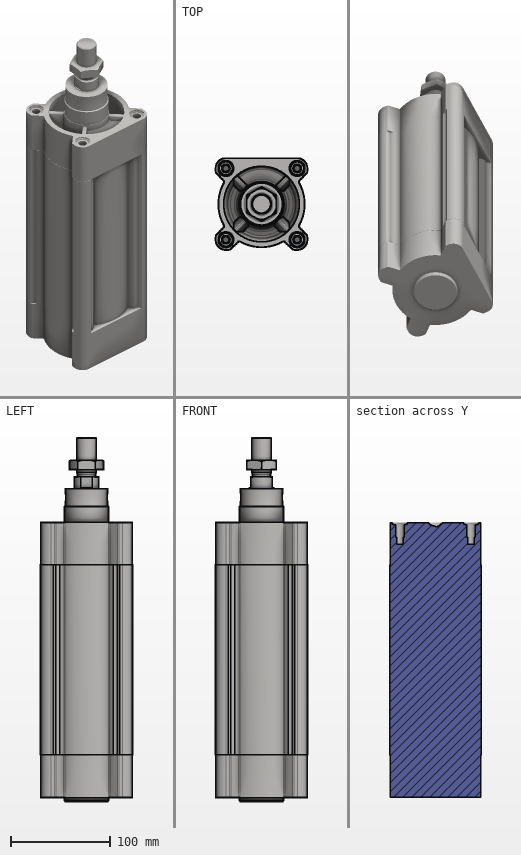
import cadquery as cq
import math

overall_height = 367.5
spigot_height = 4.0
cap_height = 43.0
tube_height = 192.0
tube_bottom = spigot_height + cap_height
tube_top = tube_bottom + tube_height
cap_top = tube_top + cap_height

width = 93.0
screw_offset = 36.0
barrel_radius = 43.7
cap_inset = 0.2
lobe_edge_fillet = 2.2
lobe_root_fillet = 1.0

groove_mouth = 34.0
groove_root_x = 31.0
groove_depth = 3.5
groove_floor_end = 27.2

recess_radius = 38.2
recess_depth = 25.0
port_recess_depth = 7.5
recess_draft = 10.0
hub_radius = 22.8
hub_draft = 6.0
floor_fillet = 2.5
port_floor_fillet = 2.0
rib_width = 4.0
rib_drop = 2.0
rib_draft = 11.0
rib_edge_fillet = 1.5

screw_hole_steps = ((15.8, 0.7), (15.0, 1.5), (13.2, 2.2), (8.5, 14.7), (6.5, 22.0))

collar_diameter = 45.0
collar_shoulder = 297.8
collar_top = 316.0
collar_nose_diameter = 43.0
collar_waist_diameter = 42.3
collar_chamfer = 0.7
spigot_chamfer = 1.0

rod_diameter = 25.0
rod_shoulder = 328.0
flat_width = 22.0
flat_bottom = 317.0
neck_diameter = 18.0
runout_diameter = 18.5
runout_bottom = 330.5
thread_bottom = 332.5
thread_diameter = 20.0
thread_chamfer = 0.7

nut_bottom = 335.3
nut_height = 9.5
nut_across_flats = 30.0
nut_face_diameter = 31.0
nut_chamfer_height = 1.0

quarter_turns = (0, 90, 180, 270)
tolerance = 0.05


def turned(shape, angle):
    return shape.rotate((0, 0, 0), (0, 0, 1), angle)


def flat_end(half_width):
    """Distance from the axis plane at which the outer flat of a lobe turns into its 45 degree side."""
    lobe_radius = half_width - screw_offset
    return screw_offset - lobe_radius * math.tan(math.radians(22.5))


def lobe(half_width, height):
    """Screw lobe in the +X+Y corner: round outside, with 45 degree sides running into the barrel."""
    arc_middle = screw_offset + (half_width - screw_offset) * math.sqrt(0.5)
    flat = flat_end(half_width)
    side_run = half_width - flat
    return (
        cq.Workplane("XY")
        .moveTo(screw_offset, half_width)
        .threePointArc((arc_middle, arc_middle), (half_width, screw_offset))
        .lineTo(half_width, flat)
        .lineTo(side_run, 0)
        .lineTo(0, side_run)
        .lineTo(flat, half_width)
        .close()
        .extrude(height)
    )


def section(height, inset=0.0):
    """Barrel with four screw lobes, standing on Z = 0, its outline moved inward by the inset."""
    half_width = width / 2 - inset
    radius = barrel_radius - inset

    def is_lobe_root(edge):
        middle = edge.Center()
        on_barrel = abs(math.hypot(middle.x, middle.y) - radius) < tolerance
        return on_barrel and min(abs(middle.x), abs(middle.y)) > tolerance

    def is_lobe_edge(edge):
        middle = edge.Center()
        spans = sorted((abs(middle.x), abs(middle.y)))
        return abs(spans[0] - flat_end(half_width)) < tolerance and abs(spans[1] - half_width) < tolerance

    body = cq.Workplane("XY").circle(radius).extrude(height)
    for angle in quarter_turns:
        body = body.union(turned(lobe(half_width, height), angle))
    body = body.edges("|Z").filter(is_lobe_root).fillet(lobe_root_fillet)
    return body.edges("|Z").filter(is_lobe_edge).fillet(lobe_edge_fillet)


def sensor_groove():
    """Cutter for the groove beside the +Y flat of the +X+Y lobe."""
    top = width / 2
    floor_end_y = groove_floor_end + top - flat_end(top)
    return (
        cq.Workplane("XY")
        .moveTo(groove_mouth, top)
        .lineTo(groove_root_x, top - groove_depth)
        .lineTo(groove_floor_end, floor_end_y)
        .lineTo(groove_floor_end, top)
        .close()
        .extrude(tube_height)
    )


def tube():
    body = section(tube_height)
    groove = sensor_groove()
    for angle in quarter_turns:
        body = body.cut(turned(groove, angle))
        body = body.cut(turned(groove.mirror("YZ"), angle))
    return body.translate((0, 0, tube_bottom))


def cap():
    """End cap: the common section with a full-width port face on +Y."""
    port_block = cq.Workplane("XY").box(
        2 * screw_offset, width / 2 - cap_inset, cap_height, centered=(True, False, False)
    )
    return section(cap_height, cap_inset).union(port_block)


def recess_ring(depth, fillet):
    """Cutter for a drafted ring around the hub, with a rounded floor."""
    at_top = cq.Workplane("XY").workplane(offset=cap_top)
    outside = at_top.circle(recess_radius).extrude(-depth, taper=recess_draft)
    hub = at_top.circle(hub_radius).extrude(-depth, taper=-hub_draft)
    return outside.cut(hub).faces("<Z").edges().fillet(fillet)


def rib():
    """Drafted rib across the recess along X, with rounded top edges."""
    return (
        cq.Workplane("XY")
        .workplane(offset=cap_top - rib_drop)
        .rect(width, rib_width)
        .extrude(-recess_depth, taper=-rib_draft)
        .faces(">Z").edges("|X").fillet(rib_edge_fillet)
    )


def recess_cutter():
    """Recess around the hub, split by four diagonal ribs and shallower behind the port face."""
    port_sector = (
        cq.Workplane("XY")
        .workplane(offset=tube_top)
        .polyline([(0, 0), (width, width), (-width, width)])
        .close()
        .extrude(cap_height)
    )
    cutter = recess_ring(recess_depth, floor_fillet).cut(port_sector)
    port_ring = recess_ring(port_recess_depth, port_floor_fillet)
    cutter = cutter.union(port_ring.intersect(port_sector))
    for angle in (45, 135):
        cutter = cutter.cut(turned(rib(), angle))
    return cutter


def screw_hole_cutter():
    hole = cq.Workplane("XY")
    for diameter, depth in screw_hole_steps:
        hole = hole.union(
            cq.Workplane("XY").workplane(offset=cap_top).circle(diameter / 2).extrude(-depth)
        )
    return hole


def collar():
    """Guide collar on the front cap; the nose is slightly waisted."""
    nose_bottom = collar_shoulder + collar_chamfer
    nose_radius = collar_nose_diameter / 2
    radius = collar_diameter / 2
    return (
        cq.Workplane("XZ")
        .moveTo(0, tube_top)
        .lineTo(radius, tube_top)
        .lineTo(radius, collar_shoulder)
        .lineTo(nose_radius, nose_bottom)
        .threePointArc(
            (collar_waist_diameter / 2, (nose_bottom + collar_top) / 2),
            (nose_radius, collar_top),
        )
        .lineTo(0, collar_top)
        .close()
        .revolve(360, (0, 0), (0, 1))
    )


def spigot():
    return (
        cq.Workplane("XY")
        .circle(collar_diameter / 2)
        .extrude(spigot_height)
        .faces("<Z").edges().chamfer(spigot_chamfer)
    )


def make_housing():
    front_cap = cap().translate((0, 0, tube_top)).cut(recess_cutter())
    rear_cap = cap().translate((0, 0, spigot_height))
    body = tube().union(front_cap).union(rear_cap).union(collar()).union(spigot())
    for x in (-screw_offset, screw_offset):
        for y in (-screw_offset, screw_offset):
            body = body.cut(screw_hole_cutter().translate((x, y, 0)))
    rod_hole = (
        cq.Workplane("XY").workplane(offset=tube_top)
        .circle(rod_diameter / 2).extrude(collar_top - tube_top)
    )
    return body.cut(rod_hole)


def make_rod():
    """Piston rod with a stepped neck, a plain thread stub and two wrench flats on +X and -X."""
    rod = (
        cq.Workplane("XZ")
        .moveTo(0, tube_top)
        .lineTo(rod_diameter / 2, tube_top)
        .lineTo(rod_diameter / 2, rod_shoulder)
        .lineTo(neck_diameter / 2, rod_shoulder)
        .lineTo(runout_diameter / 2, runout_bottom)
        .lineTo(thread_diameter / 2, thread_bottom)
        .lineTo(thread_diameter / 2, overall_height - thread_chamfer)
        .lineTo(thread_diameter / 2 - thread_chamfer, overall_height)
        .lineTo(0, overall_height)
        .close()
        .revolve(360, (0, 0), (0, 1))
    )
    for side in (-1, 1):
        flat = cq.Workplane("XY").box(
            rod_diameter, rod_diameter, rod_shoulder - flat_bottom, centered=(True, True, False)
        )
        rod = rod.cut(flat.translate((side * (flat_width + rod_diameter) / 2, 0, flat_bottom)))
    return rod


def make_nut():
    """Hexagonal lock nut with flats facing +X and -X and a chamfered top."""
    across_corners = nut_across_flats / math.cos(math.radians(30))
    blank = turned(cq.Workplane("XY").polygon(6, across_corners).extrude(nut_height), 30)
    chamfer_cone = (
        cq.Workplane("XZ")
        .lineTo(across_corners / 2, 0)
        .lineTo(across_corners / 2, nut_height - nut_chamfer_height)
        .lineTo(nut_face_diameter / 2, nut_height)
        .lineTo(0, nut_height)
        .close()
        .revolve(360, (0, 0), (0, 1))
    )
    bore = cq.Workplane("XY").circle(thread_diameter / 2).extrude(nut_height)
    return blank.intersect(chamfer_cone).cut(bore).translate((0, 0, nut_bottom))


housing = make_housing()
rod = make_rod()
nut = make_nut()

result = cq.Compound.makeCompound([housing.val(), rod.val(), nut.val()])